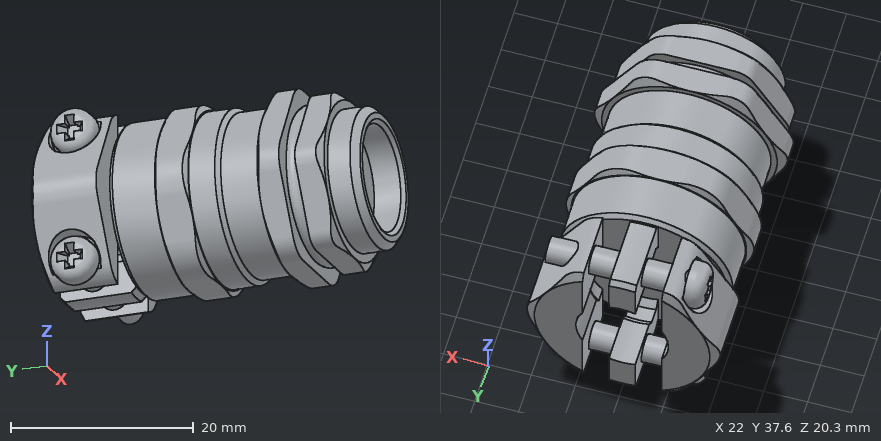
import cadquery as cq
import math


LENGTH = 37.55

THREAD_D = 16.0
THREAD_TIP_D = 14.3
THREAD_CHAMFER = (THREAD_D - THREAD_TIP_D) / 2
BORE_D = 12.0
BORE_MOUTH_D = 12.9
BORE_CHAMFER = (BORE_MOUTH_D - BORE_D) / 2
BORE_DEPTH = 3.55

NUT_START = 3.5
NUT_END = 6.55
NUT_ACROSS_FLATS = 18.02
NUT_CORNER_R = 2.48

RING_TUBE_R = 0.9
RING_OUTER_D = 18.05
RING_CENTRE_R = RING_OUTER_D / 2 - RING_TUBE_R
RING_Y = NUT_END + RING_TUBE_R

HEX_ACROSS_FLATS = 19.98
HEX_CORNER_R = 3.45
BODY_HEX_START = 8.05
BODY_HEX_END = 11.0
NECK_D = 18.6

DOME_D = 19.7
DOME_START = 15.55
DOME_END = 28.58
DOME_BEVEL = 0.5
DOME_HEX_START = 19.1
DOME_HEX_END = 23.05
DOME_HEX_CORNER_R = 5.45

HEX_CHAMFER_ANGLE = 30.0

CLAMP_START = 29.55
JAW_INNER_X = 4.5
LUG_WIDTH = 3.0
LUG_OUTER_R = HEX_ACROSS_FLATS / 2
LUG_BEVEL = 0.55
LUG_FOOT_END = 29.18

PASSAGE_R = 5.25
GROOVE_START_R = 5.45
GROOVE_R = 6.25
GROOVE_END = 32.05

SCREW_Y = 33.57
SCREW_Z = 7.5
SHANK_D = 3.2
TIP_D = 3.0
TIP_END_X = 9.45
SEAT_X = -6.55
SEAT_D = 6.0
HEAD_D = 5.3
HEAD_TOP_D = 2.63
HEAD_ROUND_R = (HEAD_D - HEAD_TOP_D) / 2
HEAD_TOP_X = -8.8
RECESS_SLOT = 1.05
RECESS_TOP_SPAN = 3.0
RECESS_FLOOR_SPAN = 1.5
RECESS_DEPTH = 1.35


def revolved(points):
    """Solid of revolution about Y from (radius, y) points."""
    return cq.Workplane("XY").polyline(points).close().revolve(360, (0, 0, 0), (0, 1, 0))


def cylinder(diameter, start, end):
    """Cylinder along Y."""
    radius = diameter / 2
    return revolved([(0, start), (radius, start), (radius, end), (0, end)])


def hexagon(across_flats, corner_r, start, end, chamfer_start=False, chamfer_end=False):
    """Hexagonal prism along Y with corners on X, rounded edges and conical end chamfers."""
    across_corners = across_flats / math.cos(math.radians(30))
    prism = (
        cq.Workplane("XZ", origin=(0, end, 0))
        .polygon(6, across_corners)
        .extrude(end - start)
        .edges("|Y")
        .fillet(corner_r)
    )
    flat_r = across_flats / 2
    rim_r = across_corners / 2
    drop = (rim_r - flat_r) * math.tan(math.radians(HEX_CHAMFER_ANGLE))
    envelope = [(0, start)]
    if chamfer_start:
        envelope += [(flat_r, start), (rim_r, start + drop)]
    else:
        envelope += [(rim_r, start)]
    if chamfer_end:
        envelope += [(rim_r, end - drop), (flat_r, end)]
    else:
        envelope += [(rim_r, end)]
    envelope += [(0, end)]
    return prism.intersect(revolved(envelope))


def make_barrel():
    """Turned core of the gland: threaded entry, neck and dome nut."""
    thread_r = THREAD_D / 2
    neck_r = NECK_D / 2
    dome_r = DOME_D / 2
    return revolved(
        [
            (0, 0),
            (THREAD_TIP_D / 2, 0),
            (thread_r, THREAD_CHAMFER),
            (thread_r, BODY_HEX_START),
            (neck_r, BODY_HEX_START),
            (neck_r, DOME_START),
            (dome_r, DOME_START + DOME_BEVEL),
            (dome_r, DOME_END - DOME_BEVEL),
            (dome_r - DOME_BEVEL, DOME_END),
            (0, DOME_END),
        ]
    )


def make_entry_bore():
    """Blind bore with a chamfered mouth, as a cutting tool."""
    bore_r = BORE_D / 2
    return revolved(
        [
            (0, 0),
            (BORE_MOUTH_D / 2, 0),
            (bore_r, BORE_CHAMFER),
            (bore_r, BORE_DEPTH),
            (0, BORE_DEPTH),
        ]
    )


def make_sealing_ring():
    """Round-section ring around the gland axis."""
    section_plane = cq.Plane(origin=(RING_CENTRE_R, RING_Y, 0), xDir=(-1, 0, 0), normal=(0, 0, 1))
    section = cq.Workplane(section_plane).circle(RING_TUBE_R)
    return section.revolve(360, (RING_CENTRE_R, 0, 0), (RING_CENTRE_R, 1, 0))


def make_cable_passage():
    """Bore through the clamp with its groove, as a cutting tool."""
    return revolved(
        [
            (0, DOME_END),
            (GROOVE_START_R, DOME_END),
            (GROOVE_R, DOME_END + GROOVE_R - GROOVE_START_R),
            (GROOVE_R, GROOVE_END - (GROOVE_R - PASSAGE_R)),
            (PASSAGE_R, GROOVE_END),
            (PASSAGE_R, LENGTH),
            (0, LENGTH),
        ]
    )


def make_lugs():
    """Opposite lugs on the dome end, sliced from a bevelled ring around the cable passage."""
    foot_slope = LUG_FOOT_END - DOME_END
    disc = revolved(
        [
            (0, DOME_END),
            (LUG_OUTER_R - foot_slope, DOME_END),
            (LUG_OUTER_R, LUG_FOOT_END),
            (LUG_OUTER_R, LENGTH - LUG_BEVEL),
            (LUG_OUTER_R - LUG_BEVEL, LENGTH),
            (0, LENGTH),
        ]
    )
    slab = cq.Workplane("XY").box(LUG_WIDTH, 2 * LENGTH, 2 * LUG_OUTER_R)
    return disc.intersect(slab).cut(make_cable_passage())


def make_jaws():
    """Both clamp jaws: a hexagonal block with its middle removed and seats for the screw heads."""
    block = hexagon(HEX_ACROSS_FLATS, HEX_CORNER_R, CLAMP_START, LENGTH, chamfer_end=True)
    middle = cq.Workplane("XY").box(2 * JAW_INNER_X, 3 * LENGTH, HEX_ACROSS_FLATS)
    jaws = block.cut(middle).cut(make_cable_passage())
    for side in (-1, 1):
        jaws = jaws.cut(along_x(SEAT_D, SEAT_X - HEX_ACROSS_FLATS, SEAT_X, side * SCREW_Z))
    return jaws


def along_x(diameter, start, end, z):
    """Cylinder along X on a clamp screw's axis."""
    return (
        cq.Workplane("YZ", origin=(start, SCREW_Y, z))
        .circle(diameter / 2)
        .extrude(end - start)
    )


def make_recess(z):
    """Cross recess whose four arms taper to a smaller floor, as a cutting tool."""
    arm = (
        cq.Workplane("XY")
        .polyline(
            [
                (0, -RECESS_TOP_SPAN / 2),
                (0, RECESS_TOP_SPAN / 2),
                (RECESS_DEPTH, RECESS_FLOOR_SPAN / 2),
                (RECESS_DEPTH, -RECESS_FLOOR_SPAN / 2),
            ]
        )
        .close()
        .extrude(RECESS_SLOT / 2, both=True)
    )
    cross = arm.union(arm.rotate((0, 0, 0), (1, 0, 0), 90))
    return cross.translate((HEAD_TOP_X, SCREW_Y, z))


def make_screw(z):
    """Pan-head clamp screw crossing both jaws."""
    head = along_x(HEAD_D, HEAD_TOP_X, SEAT_X, z).faces("<X").edges().fillet(HEAD_ROUND_R)
    shank = along_x(SHANK_D, SEAT_X, JAW_INNER_X, z)
    tip = along_x(TIP_D, JAW_INNER_X, TIP_END_X, z)
    return head.cut(make_recess(z)).union(shank).union(tip)


def make_gland():
    """Whole gland with its ring, hexagons, clamp and screws as one solid."""
    gland = make_barrel().union(make_sealing_ring())
    gland = gland.union(
        hexagon(HEX_ACROSS_FLATS, HEX_CORNER_R, BODY_HEX_START, BODY_HEX_END, chamfer_end=True)
    )
    gland = gland.union(
        hexagon(
            HEX_ACROSS_FLATS,
            DOME_HEX_CORNER_R,
            DOME_HEX_START,
            DOME_HEX_END,
            chamfer_start=True,
            chamfer_end=True,
        )
    )
    gland = gland.cut(make_entry_bore()).union(make_lugs()).union(make_jaws())
    for side in (-1, 1):
        gland = gland.union(make_screw(side * SCREW_Z))
    return gland


def make_locknut():
    """Hexagonal locknut that fits the entry thread."""
    nut = hexagon(NUT_ACROSS_FLATS, NUT_CORNER_R, NUT_START, NUT_END, chamfer_start=True)
    return nut.cut(cylinder(THREAD_D, NUT_START, NUT_END))


gland = make_gland()
locknut = make_locknut()

result = cq.Compound.makeCompound([gland.val(), locknut.val()])